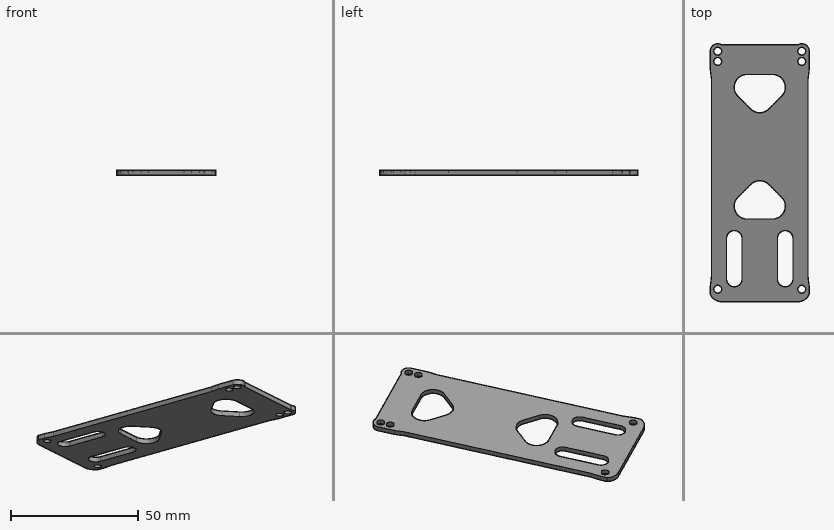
import cadquery as cq
import math

width = 39.0
length = 101.5
thickness = 2.0
half_width = width / 2
top_y = length / 2
bottom_y = -length / 2

top_corner_radius = 3.0
top_edge_drop = 0.4
side_inset = 0.5
inset_run = 4.0
top_inset_start = 10.0
bottom_inset_start = 6.0
bottom_corner_radius = 5.0
bottom_edge_half = 14.9

hole_diameter = 3.0
hole_pair_pitch = 4.0
bottom_hole_margin = 5.0
hole_x = half_width - top_corner_radius
hole_ys = [
    top_y - top_corner_radius,
    top_y - top_corner_radius - hole_pair_pitch,
    bottom_y + bottom_hole_margin,
]

window_radius = 5.0
window_center_offset = 5.0
upper_window_margin = 12.15
lower_window_margin = 32.6
upper_window_base_y = top_y - upper_window_margin
lower_window_base_y = bottom_y + lower_window_margin

slot_width = 6.0
slot_length = 22.0
slot_x = 10.0
slot_margin = 6.0
slot_center_y = bottom_y + slot_margin + slot_length / 2


def arc_point(center, radius, angle_degrees):
    angle = math.radians(angle_degrees)
    return (center[0] + radius * math.cos(angle), center[1] + radius * math.sin(angle))


def plate():
    """Full plate: the right half of the outline, mirrored about the Y axis."""
    recessed_x = half_width - side_inset
    upper_taper_y = top_y - top_inset_start
    lower_taper_y = bottom_y + bottom_inset_start

    bottom_center = (bottom_edge_half, bottom_y + bottom_corner_radius)
    bottom_end_angle = -math.degrees(math.acos((half_width - bottom_edge_half) / bottom_corner_radius))
    bottom_mid_angle = (bottom_end_angle - 90) / 2

    lobe_center = (hole_x, top_y - top_corner_radius)
    lobe_rise = top_corner_radius - top_edge_drop
    lobe_end_angle = 180 - math.degrees(math.asin(lobe_rise / top_corner_radius))

    half = (
        cq.Workplane("XY")
        .moveTo(0, bottom_y)
        .lineTo(bottom_edge_half, bottom_y)
        .threePointArc(
            arc_point(bottom_center, bottom_corner_radius, bottom_mid_angle),
            arc_point(bottom_center, bottom_corner_radius, bottom_end_angle),
        )
        .lineTo(half_width, lower_taper_y)
        .lineTo(recessed_x, lower_taper_y + inset_run)
        .lineTo(recessed_x, upper_taper_y - inset_run)
        .lineTo(half_width, upper_taper_y)
        .lineTo(half_width, lobe_center[1])
        .threePointArc(
            arc_point(lobe_center, top_corner_radius, lobe_end_angle / 2),
            arc_point(lobe_center, top_corner_radius, lobe_end_angle),
        )
        .lineTo(0, top_y - top_edge_drop)
        .mirrorY()
    )
    return half.extrude(thickness)


def screw_holes():
    points = [(side * hole_x, y) for side in (-1, 1) for y in hole_ys]
    return cq.Workplane("XY").pushPoints(points).circle(hole_diameter / 2).extrude(thickness)


def window(base_y, direction):
    """Right-angled triangle with rounded corners; its apex points along direction * Y."""
    radius = window_radius
    side_y = base_y + direction * radius
    apex_center = (0, side_y + direction * window_center_offset)
    right_center = (window_center_offset, side_y)
    left_center = (-window_center_offset, side_y)
    base_angle = -90 * direction
    slope_angle = 45 * direction
    side_mid_angle = (base_angle + slope_angle) / 2
    return (
        cq.Workplane("XY")
        .moveTo(-window_center_offset, base_y)
        .lineTo(window_center_offset, base_y)
        .threePointArc(
            arc_point(right_center, radius, side_mid_angle),
            arc_point(right_center, radius, slope_angle),
        )
        .lineTo(*arc_point(apex_center, radius, slope_angle))
        .threePointArc(
            arc_point(apex_center, radius, 90 * direction),
            arc_point(apex_center, radius, 180 - slope_angle),
        )
        .lineTo(*arc_point(left_center, radius, 180 - slope_angle))
        .threePointArc(
            arc_point(left_center, radius, 180 - side_mid_angle),
            (-window_center_offset, base_y),
        )
        .close()
        .extrude(thickness)
    )


def slots():
    points = [(side * slot_x, slot_center_y) for side in (-1, 1)]
    return cq.Workplane("XY").pushPoints(points).slot2D(slot_length, slot_width, 90).extrude(thickness)


result = (
    plate()
    .cut(screw_holes())
    .cut(window(upper_window_base_y, -1))
    .cut(window(lower_window_base_y, 1))
    .cut(slots())
)